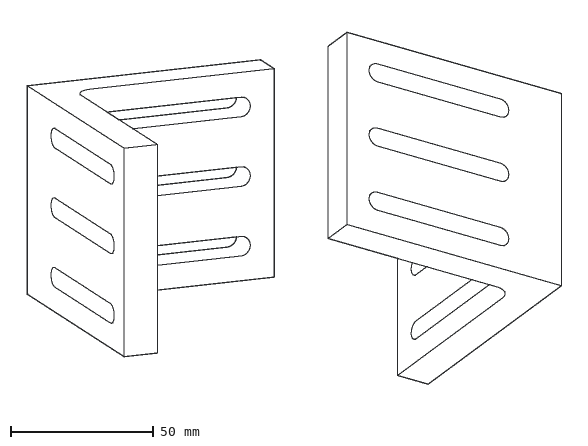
import cadquery as cq

leg_length = 88.9
height = 76.2
thickness = 12.7
inner_fillet_radius = 6.3

slot_width = 7.1
slot_travel = 50.8
slot_end_offset = 12.7
slot_pitch = 25.4
slot_count = 3

slot_length = slot_travel + slot_width
slot_centre = leg_length - slot_end_offset - slot_travel / 2


def make_angle():
    """L-shaped body with its outer corner on the Z axis."""
    body = (
        cq.Workplane("XY")
        .moveTo(0, 0)
        .lineTo(leg_length, 0)
        .lineTo(leg_length, thickness)
        .lineTo(thickness, thickness)
        .lineTo(thickness, leg_length)
        .lineTo(0, leg_length)
        .close()
        .extrude(height)
    )
    inner_edge = cq.selectors.NearestToPointSelector((thickness, thickness, height / 2))
    return body.edges(inner_edge).fillet(inner_fillet_radius)


def make_slot_cutters(plane, depth):
    """Column of horizontal slots, centred on the plate height."""
    return (
        cq.Workplane(plane)
        .center(slot_centre, height / 2)
        .rarray(0.9, slot_pitch, 1, slot_count)
        .slot2D(slot_length, slot_width)
        .extrude(depth)
    )


result = (
    make_angle()
    .cut(make_slot_cutters("XZ", -thickness))
    .cut(make_slot_cutters("YZ", thickness))
)